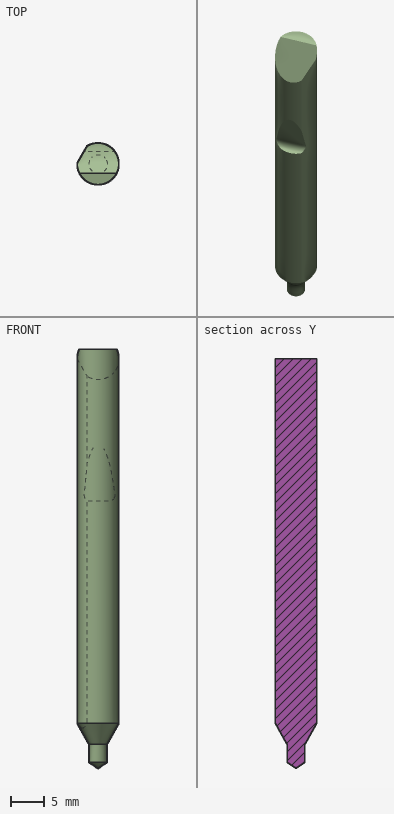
import cadquery as cq
import math

length = 63.5
shank_radius = 3.2
pilot_radius = 1.4
point_height = 0.95
pilot_top = 3.7
shank_bottom = 6.85

flat_distance = 2.8
flat_direction = 150.0

bevel_start_y = -1.4

notch_top = 49.15
notch_bottom = 40.5
notch_depth = 1.3
notch_radius = 1.0

overshoot = 0.65


def revolved_body():
    return (
        cq.Workplane("XZ")
        .polyline([
            (0, 0),
            (pilot_radius, point_height),
            (pilot_radius, pilot_top),
            (shank_radius, shank_bottom),
            (shank_radius, length),
            (0, length),
        ])
        .close()
        .revolve(360, (0, 0), (0, 1))
    )


def side_flat_cutter():
    width = 2 * shank_radius
    return (
        cq.Workplane("XY")
        .box(width, width, length, centered=(False, True, False))
        .translate((flat_distance, 0, 0))
        .rotate((0, 0, 0), (0, 0, 1), flat_direction)
    )


def top_bevel_cutter():
    far_y = shank_radius + overshoot
    drop = far_y - bevel_start_y
    return (
        cq.Workplane("YZ")
        .polyline([(bevel_start_y, length), (far_y, length - drop), (far_y, length)])
        .close()
        .extrude(shank_radius, both=True)
    )


def notch_cutter():
    floor_y = shank_radius - notch_depth
    outer_y = shank_radius + overshoot
    arc_center_y = floor_y + notch_radius
    arc_top = notch_bottom + notch_radius
    arc_offset = notch_radius * math.sqrt(0.5)
    return (
        cq.Workplane("YZ")
        .moveTo(outer_y, notch_top)
        .lineTo(shank_radius, notch_top)
        .lineTo(floor_y, arc_top)
        .threePointArc(
            (arc_center_y - arc_offset, arc_top - arc_offset),
            (arc_center_y, notch_bottom),
        )
        .lineTo(outer_y, notch_bottom)
        .close()
        .extrude(shank_radius, both=True)
    )


result = (
    revolved_body()
    .cut(side_flat_cutter())
    .cut(top_bevel_cutter())
    .cut(notch_cutter())
)